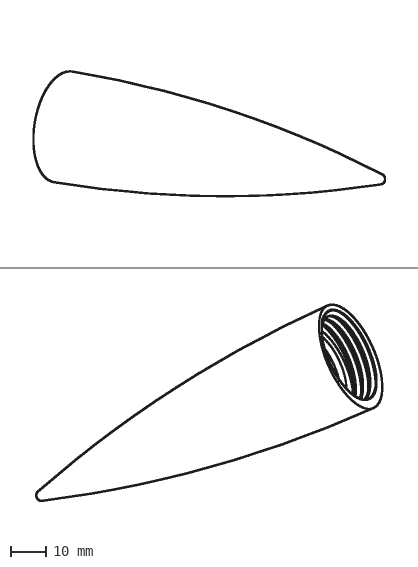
import cadquery as cq
import math


length = 108.0
base_radius = 16.0
ogive_radius = 401.7
tip_start = 106.8

pitch = 2.5
major_radius = 29.0 / 2
minor_radius = 26.2 / 2
thread_depth = 9.0
groove_mouth = 0.75 * pitch
groove_root = 0.125 * pitch
overlap = 0.2

collar_radius = 22.0 / 2
collar_end = 11.0
wall = 1.0
cavity_end = tip_start

ring_radius = 15.1
bore_overshoot = 1.1


def ogive_height(x, inset=0.0):
    """Radius of the outer surface at x, reduced by a radial inset."""
    return base_radius - inset - ogive_radius + math.sqrt(ogive_radius**2 - x**2)


def ogive_solid(start, end, inset=0.0, tip=None):
    """Solid of revolution under the ogive, with a flat end or a rounded tip reaching to tip."""
    middle = (start + end) / 2
    end_radius = ogive_height(end, inset)
    profile = (
        cq.Workplane("XY")
        .moveTo(start, 0)
        .lineTo(start, ogive_height(start, inset))
        .threePointArc((middle, ogive_height(middle, inset)), (end, end_radius))
    )
    if tip is None:
        profile = profile.lineTo(end, 0)
    else:
        cap_height = tip - end
        cap_radius = (end_radius**2 + cap_height**2) / (2 * cap_height)
        cap_middle_angle = math.asin(end_radius / cap_radius) / 2
        cap_middle = (
            tip - cap_radius * (1 - math.cos(cap_middle_angle)),
            cap_radius * math.sin(cap_middle_angle),
        )
        profile = profile.threePointArc(cap_middle, (tip, 0))
    return profile.close().revolve(360, (0, 0, 0), (1, 0, 0))


def cylinder(start, end, radius):
    """Cylinder along X from start to end."""
    return cq.Workplane("YZ", origin=(start, 0, 0)).circle(radius).extrude(end - start)


def thread_groove():
    """Right-hand trapezoidal groove, centred on the +Y side at the mouth and cut off at the collar."""
    flank_slope = (groove_mouth - groove_root) / (2 * (major_radius - minor_radius))
    inner_half = groove_mouth / 2 + overlap * flank_slope
    root_half = groove_root / 2
    helix = cq.Wire.makeHelix(pitch, thread_depth + 2 * pitch, minor_radius)
    groove = (
        cq.Workplane("XZ")
        .polyline([
            (minor_radius - overlap, -inner_half),
            (major_radius, -root_half),
            (major_radius, root_half),
            (minor_radius - overlap, inner_half),
        ])
        .close()
        .sweep(cq.Workplane(helix), isFrenet=True)
        .translate((0, 0, -pitch))
        .rotate((0, 0, 0), (0, 1, 0), 90)
        .rotate((0, 0, 0), (1, 0, 0), 90)
    )
    return groove.intersect(cylinder(0, thread_depth, base_radius))


def threaded_ring():
    """Ring at the mouth that carries the internal thread."""
    blank = cylinder(0, thread_depth, ring_radius).cut(thread_groove())
    return blank.cut(cylinder(-bore_overshoot, thread_depth + bore_overshoot, minor_radius))


result = (
    ogive_solid(0, tip_start, tip=length)
    .cut(ogive_solid(collar_end, cavity_end, inset=wall))
    .cut(cylinder(0, collar_end, collar_radius))
    .cut(cylinder(0, thread_depth, ring_radius))
    .union(threaded_ring())
)